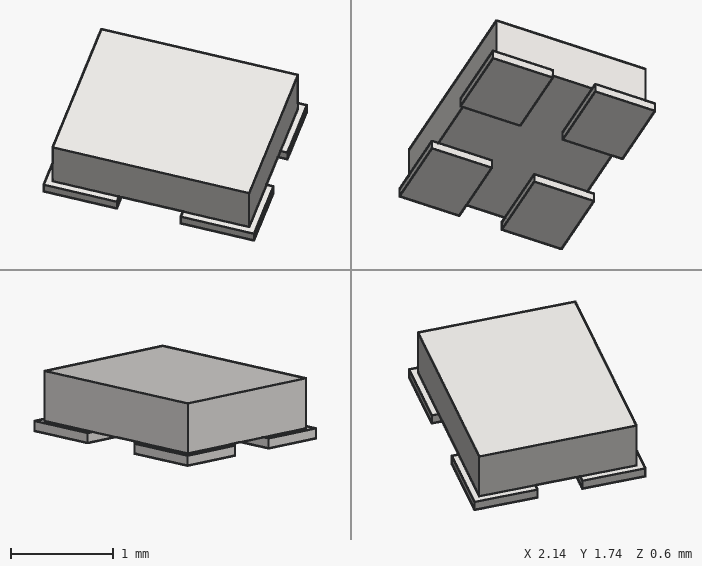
import cadquery as cq

OVERALL_LENGTH = 2.14
OVERALL_WIDTH = 1.74
OVERALL_HEIGHT = 0.6

HOUSING_LENGTH = 2.0
HOUSING_WIDTH = 1.6

PAD_LENGTH = 0.745
PAD_WIDTH = 0.642
PAD_THICKNESS = 0.1

PAD_CENTER_X = (OVERALL_LENGTH - PAD_LENGTH) / 2
PAD_CENTER_Y = (OVERALL_WIDTH - PAD_WIDTH) / 2


def make_housing():
    """Plain block resting on top of the pads."""
    height = OVERALL_HEIGHT - PAD_THICKNESS
    return (
        cq.Workplane("XY", origin=(0, 0, PAD_THICKNESS))
        .box(HOUSING_LENGTH, HOUSING_WIDTH, height, centered=(True, True, False))
    )


def make_pad(side_x, side_y):
    """Flat pad at the corner given by the signs side_x and side_y."""
    center = (side_x * PAD_CENTER_X, side_y * PAD_CENTER_Y, 0)
    return (
        cq.Workplane("XY", origin=center)
        .box(PAD_LENGTH, PAD_WIDTH, PAD_THICKNESS, centered=(True, True, False))
    )


housing = make_housing()
pads = [make_pad(side_x, side_y) for side_x in (-1, 1) for side_y in (-1, 1)]

result = cq.Compound.makeCompound([housing.val(), *[pad.val() for pad in pads]])